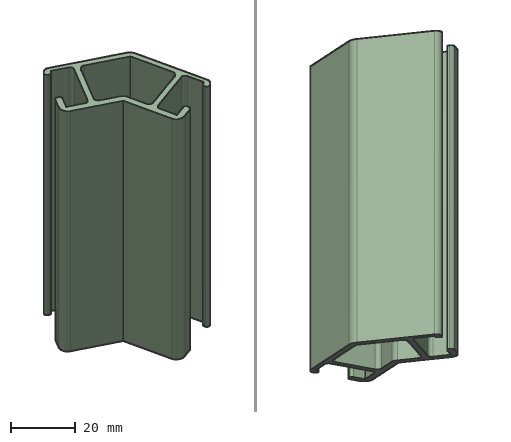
import cadquery as cq
import math

length = 100.0
bend_angle = 45.0
arm_length = 28.7
arm_depth = 21.0

outer_wall = 2.0
outer_flange = 1.5
inner_wall = 2.2
web = 2.0
channel_depth = 9.5
lip_thickness = 2.3
short_lip = 3.0
long_lip = 7.2

bend_radius = 4.0
cavity_bend_radius = 3.0
short_lip_radius = 2.0
long_lip_radius = 3.0
lip_tip_radius = 0.9
cavity_outer_radius = 1.5
cavity_inner_radius = 1.5
channel_radius = 1.3

half_bend = math.radians(bend_angle / 2)
channel_floor = arm_length - channel_depth
cavity_end = channel_floor - web
lip_inside = arm_length - lip_thickness
channel_top = -outer_flange
channel_bottom = inner_wall - arm_depth
cavity_bottom = channel_bottom


def on_bisector(y):
    """Point at height y on the line that mirrors one arm onto the other."""
    return (-y * math.tan(half_bend), y)


def mirrored(point):
    """Matching point on the other arm."""
    x, y = point
    angle = math.radians(180 + bend_angle)
    return (
        x * math.cos(angle) + y * math.sin(angle),
        x * math.sin(angle) - y * math.cos(angle),
    )


def symmetric_prism(arm_points, bend_start, bend_end):
    """Extrude an outline given by its right-arm points between two bend corners."""
    left_points = [mirrored(point) for point in reversed(arm_points)]
    outline = [bend_start] + arm_points + [bend_end] + left_points
    return cq.Workplane("XY").polyline(outline).close().extrude(length)


def round_edges(body, radius, points):
    """Round the lengthwise edges that pass through the given points."""
    edges = cq.Workplane("XY")
    for x, y in points:
        nearest = cq.selectors.NearestToPointSelector((x, y, length / 2))
        edges = edges.add(body.edges("|Z").edges(nearest))
    return body.newObject(edges.vals()).fillet(radius)


arm_outline = [
    (arm_length, 0),
    (arm_length, -short_lip),
    (lip_inside, -short_lip),
    (lip_inside, channel_top),
    (channel_floor, channel_top),
    (channel_floor, channel_bottom),
    (lip_inside, channel_bottom),
    (lip_inside, long_lip - arm_depth),
    (arm_length, long_lip - arm_depth),
    (arm_length, -arm_depth),
]
profile = symmetric_prism(arm_outline, (0, 0), on_bisector(-arm_depth))

cavity_outer_corner = (cavity_end, -outer_wall)
cavity_inner_corner = (cavity_end, cavity_bottom)
cavity_bend = on_bisector(-outer_wall)
cavity_inner_bend = on_bisector(cavity_bottom)
cavity = symmetric_prism([cavity_outer_corner, cavity_inner_corner], cavity_bend, cavity_inner_bend)
profile = profile.cut(cavity)

arm_rounds = [
    (short_lip_radius, [(arm_length, 0)]),
    (long_lip_radius, [(arm_length, -arm_depth)]),
    (lip_tip_radius, [
        (arm_length, -short_lip),
        (lip_inside, -short_lip),
        (lip_inside, long_lip - arm_depth),
        (arm_length, long_lip - arm_depth),
    ]),
    (channel_radius, [(channel_floor, channel_top), (channel_floor, channel_bottom)]),
    (cavity_outer_radius, [cavity_outer_corner]),
    (cavity_inner_radius, [cavity_inner_corner]),
]
for radius, points in arm_rounds:
    profile = round_edges(profile, radius, points + [mirrored(point) for point in points])

profile = round_edges(profile, bend_radius, [(0, 0)])
profile = round_edges(profile, cavity_bend_radius, [cavity_inner_bend])

result = profile